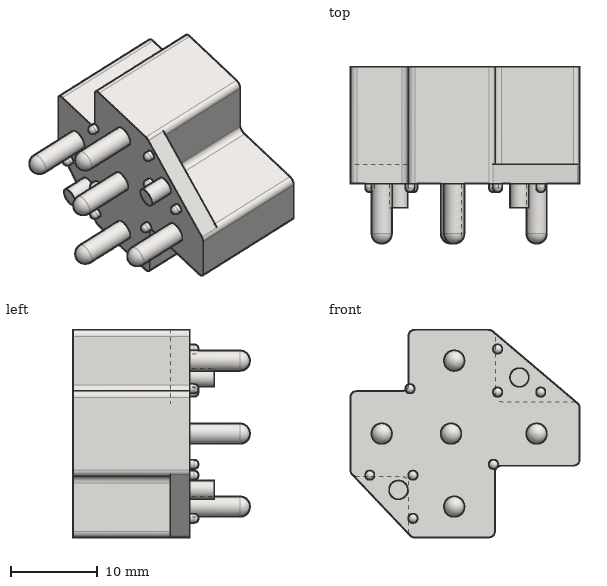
import cadquery as cq
import math


housing_depth = 13.5
left_end = -11.63
right_end = left_end + 26.5
half_height = 12.0
column_left = -4.93
column_right = 5.09
left_arm_half = 4.93
right_arm_half = 3.7
corner_radius = 0.75

web_depth = 2.25

post_diameter = 2.17
post_length = 2.8
post_centres = [(7.9, 6.5), (-6.07, -6.5)]

bump_diameter = 1.09
bump_length = 1.0
bump_pitch = 4.98
upper_bump_corner = (5.38, 4.8)
lower_bump_corner = (-4.4, -4.8)
notch_bump_centres = [(-4.75, 5.2), (4.9, -3.55)]

pin_diameter = 2.38
pin_length = 6.95
column_pin_x = 0.37
column_pin_z = 8.42
left_pin_x = -8.0
right_pin_x = 9.88
pin_centres = [
    (0, 0),
    (left_pin_x, 0),
    (right_pin_x, 0),
    (column_pin_x, column_pin_z),
    (column_pin_x, -column_pin_z),
]


def front_plane():
    """Sketch plane on the front face: local axes are X and Z, extrusion goes toward -Y."""
    return cq.Workplane("XZ")


def make_domed_rod(centre, diameter, length):
    """Rod standing on the front face with a hemispherical free end."""
    radius = diameter / 2
    shank_length = length - radius
    profile = (
        cq.Workplane("XY")
        .lineTo(radius, 0)
        .lineTo(radius, -shank_length)
        .radiusArc((0, -length), radius)
        .close()
    )
    x, z = centre
    return profile.revolve(360, (0, 0), (0, 1)).translate((x, 0, z))


def make_cross_block():
    """Cross-shaped block with every lengthwise corner rounded."""
    outline = [
        (column_left, half_height),
        (column_right, half_height),
        (column_right, right_arm_half),
        (right_end, right_arm_half),
        (right_end, -right_arm_half),
        (column_right, -right_arm_half),
        (column_right, -half_height),
        (column_left, -half_height),
        (column_left, -left_arm_half),
        (left_end, -left_arm_half),
        (left_end, left_arm_half),
        (column_left, left_arm_half),
    ]
    block = front_plane().polyline(outline).close().extrude(-housing_depth)
    return block.edges("|Y").fillet(corner_radius)


def make_web(column_x, column_end_z, arm_end_x, arm_z):
    """Web across a notch, its outer face tangent to the rounded corners of the column and arm."""
    side_x = math.copysign(1, arm_end_x)
    side_z = math.copysign(1, column_end_z)
    column_centre = (column_x - side_x * corner_radius, column_end_z - side_z * corner_radius)
    arm_centre = (arm_end_x - side_x * corner_radius, arm_z - side_z * corner_radius)

    run = abs(arm_centre[0] - column_centre[0])
    rise = abs(column_centre[1] - arm_centre[1])
    span = math.hypot(run, rise)
    offset_x = side_x * corner_radius * rise / span
    offset_z = side_z * corner_radius * run / span

    outline = [
        column_centre,
        (column_centre[0] + offset_x, column_centre[1] + offset_z),
        (arm_centre[0] + offset_x, arm_centre[1] + offset_z),
        arm_centre,
        (column_centre[0], arm_centre[1]),
    ]
    return front_plane().polyline(outline).close().extrude(-web_depth)


def bump_trio(corner, direction):
    """Right-angled group of three bump centres, reaching outward from its corner bump."""
    x, z = corner
    step = direction * bump_pitch
    return [(x, z), (x + step, z), (x, z + step)]


def make_housing():
    """Cross block with its webs, locating posts and standoff bumps."""
    body = make_cross_block()
    body = body.union(make_web(column_right, half_height, right_end, right_arm_half))
    body = body.union(make_web(column_left, -half_height, left_end, -left_arm_half))

    posts = front_plane().pushPoints(post_centres).circle(post_diameter / 2).extrude(post_length)
    body = body.union(posts)

    bump_centres = bump_trio(upper_bump_corner, 1) + bump_trio(lower_bump_corner, -1) + notch_bump_centres
    for centre in bump_centres:
        body = body.union(make_domed_rod(centre, bump_diameter, bump_length))
    return body


housing = make_housing()

pins = []
for pin_centre in pin_centres:
    pin = make_domed_rod(pin_centre, pin_diameter, pin_length)
    pins.append(pin.val())

result = cq.Compound.makeCompound([housing.val(), *pins])